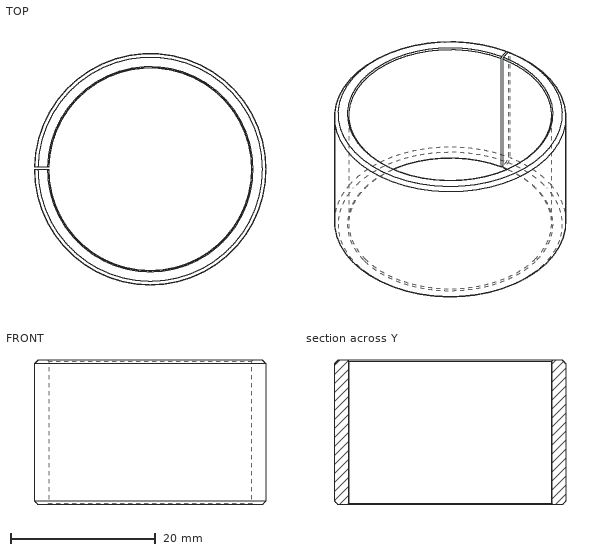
import cadquery as cq

outer_diameter = 32.0
bore_diameter = 28.0
length = 20.0
outer_chamfer = 0.5
inner_chamfer = 0.2
slit_width = 0.3

outer_radius = outer_diameter / 2
bore_radius = bore_diameter / 2


def bushing_profile():
    """Half section of the wall in the XZ plane, chamfered at all four corners."""
    top = length / 2
    upper = [
        (bore_radius, top - inner_chamfer),
        (bore_radius + inner_chamfer, top),
        (outer_radius - outer_chamfer, top),
        (outer_radius, top - outer_chamfer),
    ]
    lower = [(radius, -height) for radius, height in reversed(upper)]
    return cq.Workplane("XZ").polyline(upper + lower).close()


def slit_cutter():
    """Full-length slit through the -X wall, with one face on the XZ plane."""
    return cq.Workplane("XY").box(
        outer_diameter, slit_width, length, centered=(True, False, True)
    ).translate((-outer_radius, 0, 0))


ring = bushing_profile().revolve(360, (0, 0, 0), (0, 1, 0))
result = ring.cut(slit_cutter())